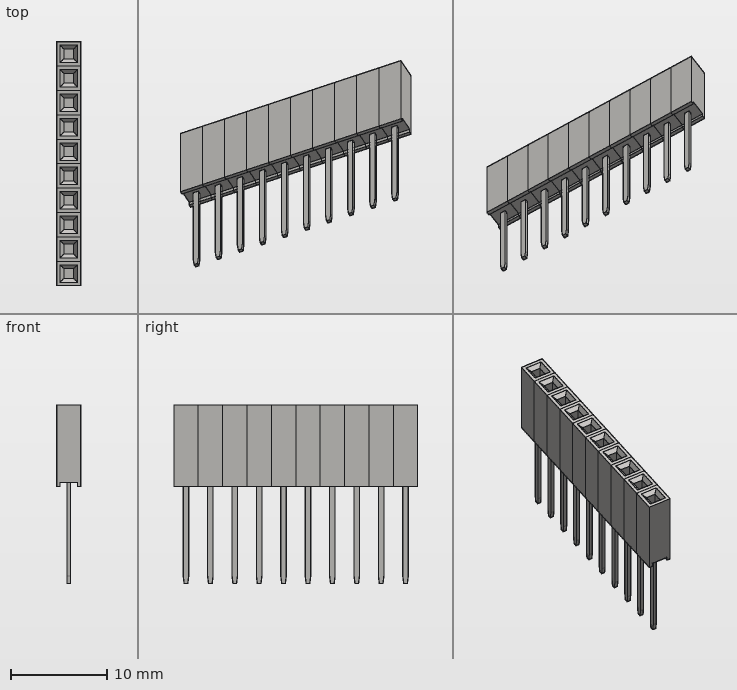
import cadquery as cq

CELL_COUNT = 10
PITCH = 2.54

HOUSING_HEIGHT = 8.5
STANDOFF_GAP = 1.8
STANDOFF_HEIGHT = 0.4

LEAD_IN_WIDTH = 1.82
LEAD_IN_DEPTH = 0.4
SOCKET_WIDTH = 1.02
SOCKET_DEPTH = 7.0

OVERALL_HEIGHT = 18.6
TAIL_THICKNESS = 0.38
TAIL_WIDTH = 0.6
TIP_LENGTH = 0.8
TIP_WIDTH = 0.4
TAIL_END = HOUSING_HEIGHT - OVERALL_HEIGHT


def housing_block():
    """Square block with a channel across its underside, open at both Y ends."""
    block = cq.Workplane("XY").rect(PITCH, PITCH).extrude(HOUSING_HEIGHT)
    channel = cq.Workplane("XY").rect(STANDOFF_GAP, PITCH).extrude(STANDOFF_HEIGHT)
    return block.cut(channel)


def socket_cavity():
    """Square pocket opening upward through a pyramidal lead-in."""
    lead_in = (
        cq.Workplane("XY", origin=(0, 0, HOUSING_HEIGHT))
        .rect(LEAD_IN_WIDTH, LEAD_IN_WIDTH)
        .workplane(offset=-LEAD_IN_DEPTH)
        .rect(SOCKET_WIDTH, SOCKET_WIDTH)
        .loft(ruled=True)
    )
    pocket = (
        cq.Workplane("XY", origin=(0, 0, HOUSING_HEIGHT - SOCKET_DEPTH))
        .rect(SOCKET_WIDTH, SOCKET_WIDTH)
        .extrude(SOCKET_DEPTH - LEAD_IN_DEPTH)
    )
    return lead_in.union(pocket)


def solder_tail():
    """Flat tail hanging from the channel roof, narrowed in Y towards its tip."""
    return (
        cq.Workplane("YZ")
        .moveTo(-TAIL_WIDTH / 2, STANDOFF_HEIGHT)
        .lineTo(-TAIL_WIDTH / 2, TAIL_END + TIP_LENGTH)
        .lineTo(-TIP_WIDTH / 2, TAIL_END)
        .lineTo(TIP_WIDTH / 2, TAIL_END)
        .lineTo(TAIL_WIDTH / 2, TAIL_END + TIP_LENGTH)
        .lineTo(TAIL_WIDTH / 2, STANDOFF_HEIGHT)
        .close()
        .extrude(TAIL_THICKNESS / 2, both=True)
    )


def socket_cell():
    """One complete cell, centred on the Z axis."""
    return housing_block().cut(socket_cavity()).union(solder_tail())


cells = []
for index in range(CELL_COUNT):
    y_position = (index - (CELL_COUNT - 1) / 2) * PITCH
    cells.append(socket_cell().translate((0, y_position, 0)).solids().val())

result = cq.Compound.makeCompound(cells)